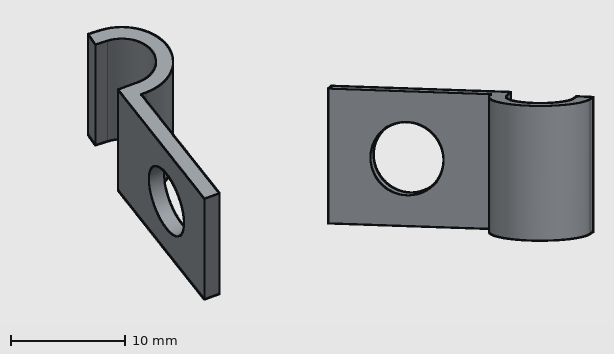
import cadquery as cq
import math

length = 23.57
depth = 6.5
height = 12.0
thickness = 1.5

outer_radius = 4.5
inner_radius = outer_radius - thickness
lip_tilt = 3.0
lip_length = 1.15

hole_diameter = 6.5
hole_from_right = 7.02

tilt = math.radians(lip_tilt)
axis_x = outer_radius * math.cos(tilt) + lip_length * math.sin(tilt)
axis_y = depth - outer_radius


def on_lip(radius, run):
    """Point on the lip: tangent to the given radius, a given run past the arc."""
    return (
        axis_x - radius * math.cos(tilt) - run * math.sin(tilt),
        axis_y + radius * math.sin(tilt) - run * math.cos(tilt),
    )


def make_strip():
    """Bent strip: flat plate, half-round hook and straight free lip."""
    return (
        cq.Workplane("XY")
        .moveTo(axis_x + inner_radius, 0)
        .lineTo(length, 0)
        .lineTo(length, thickness)
        .lineTo(axis_x + outer_radius, thickness)
        .lineTo(axis_x + outer_radius, axis_y)
        .threePointArc((axis_x, depth), on_lip(outer_radius, 0))
        .lineTo(*on_lip(outer_radius, lip_length))
        .lineTo(*on_lip(inner_radius, lip_length))
        .lineTo(*on_lip(inner_radius, 0))
        .threePointArc((axis_x, axis_y + inner_radius), (axis_x + inner_radius, axis_y))
        .close()
        .extrude(height)
    )


def make_hole():
    """Round cutter through the plate, centred on its height."""
    return (
        cq.Workplane("XZ", origin=(length - hole_from_right, 0, height / 2))
        .circle(hole_diameter / 2)
        .extrude(-thickness)
    )


result = make_strip().cut(make_hole())